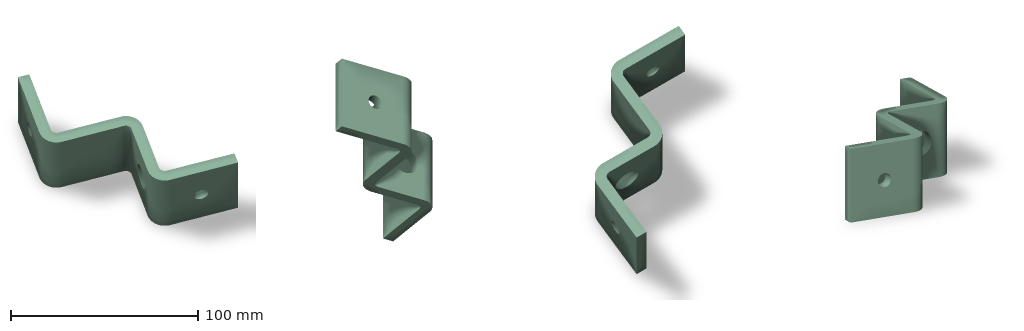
import cadquery as cq

total_x = 88.86
total_y = 95.2
width = 41.27
thickness = 6.35
inner_bend_radius = 3.175
small_hole_diameter = 7.94
large_hole_diameter = 14.29
hole_from_end = 20.64

outer_bend_radius = inner_bend_radius + thickness
riser_outer_x = (total_x + thickness) / 2
riser_inner_x = riser_outer_x - thickness
shelf_front_y = total_y / 2
shelf_back_y = shelf_front_y + thickness
end_leg_inner_x = total_x - thickness
shelf_hole_x = (riser_outer_x + total_x) / 2
mid_height = width / 2


def make_bent_strip():
    """Sharp-cornered stepped strip, then rounded at its three bends."""
    outline = [
        (0, 0),
        (riser_outer_x, 0),
        (riser_outer_x, shelf_front_y),
        (total_x, shelf_front_y),
        (total_x, total_y),
        (end_leg_inner_x, total_y),
        (end_leg_inner_x, shelf_back_y),
        (riser_inner_x, shelf_back_y),
        (riser_inner_x, thickness),
        (0, thickness),
    ]
    outer_corners = [
        (riser_outer_x, 0),
        (riser_inner_x, shelf_back_y),
        (total_x, shelf_front_y),
    ]
    inner_corners = [
        (riser_inner_x, thickness),
        (riser_outer_x, shelf_front_y),
        (end_leg_inner_x, shelf_back_y),
    ]
    strip = cq.Workplane("XY").polyline(outline).close().extrude(width)
    strip = round_corners(strip, outer_corners, outer_bend_radius)
    return round_corners(strip, inner_corners, inner_bend_radius)


def round_corners(body, corners, radius):
    """Fillet the edges parallel to Z that stand on the given XY corners."""
    for x, y in corners:
        edge = cq.selectors.NearestToPointSelector((x, y, mid_height))
        body = body.edges("|Z").edges(edge).fillet(radius)
    return body


def hole_through_leg(start, direction, diameter):
    """Cutter for a round hole through one leg, from a point on its face."""
    return cq.Workplane(
        cq.Solid.makeCylinder(diameter / 2, thickness, cq.Vector(*start), cq.Vector(*direction))
    )


along_x = (1, 0, 0)
along_y = (0, 1, 0)
front_leg_hole = hole_through_leg((hole_from_end, 0, mid_height), along_y, small_hole_diameter)
shelf_hole = hole_through_leg((shelf_hole_x, shelf_front_y, mid_height), along_y, large_hole_diameter)
end_leg_hole = hole_through_leg(
    (end_leg_inner_x, total_y - hole_from_end, mid_height), along_x, small_hole_diameter
)

result = make_bent_strip().cut(front_leg_hole).cut(shelf_hole).cut(end_leg_hole)